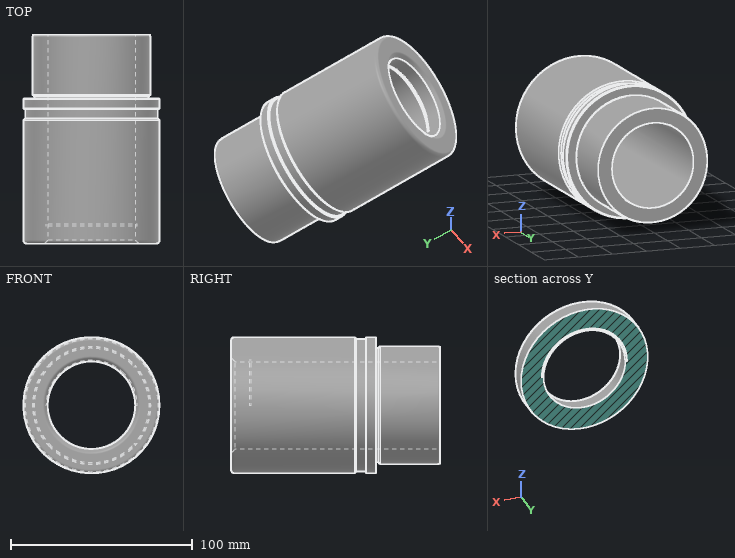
import cadquery as cq
import math


total_length = 115.0
spigot_length = 35.0
collar_length = 6.0
body_length = 68.0

body_radius = 75.0 / 2
groove_depth = 1.0
spigot_radius = 65.0 / 2
neck_depth = 1.0
bore_radius = 48.0 / 2

body_front_fillet = 2.0
collar_chamfer = 0.5
neck_length = 1.0
spigot_lead_length = 1.2
spigot_lead_depth = 0.35
bore_chamfer = 2.2
bore_chamfer_blend = 1.8

oil_groove_start_y = 10.0
oil_groove_width = 1.0
oil_groove_depth = 1.0

shoulder_y = total_length - spigot_length
collar_front_y = shoulder_y - collar_length
groove_radius = body_radius - groove_depth
neck_radius = spigot_radius - neck_depth
neck_end_y = shoulder_y + neck_length

cut_margin = 1.0

full_turn = 360
half_turn = 180


def make_outer_body():
    """Stepped outside: body, groove, collar, neck and spigot as (radius, Y) points."""
    outline = [
        (0, 0),
        (body_radius, 0),
        (body_radius, body_length),
        (groove_radius, body_length + groove_depth),
        (groove_radius, collar_front_y),
        (body_radius - collar_chamfer, collar_front_y),
        (body_radius, collar_front_y + collar_chamfer),
        (body_radius, shoulder_y - collar_chamfer),
        (body_radius - collar_chamfer, shoulder_y),
        (neck_radius, shoulder_y),
        (neck_radius, neck_end_y),
        (spigot_radius, neck_end_y + neck_depth),
        (spigot_radius, total_length - spigot_lead_length),
        (spigot_radius - spigot_lead_depth, total_length),
        (0, total_length),
    ]
    solid = cq.Workplane("XY").polyline(outline).close().revolve(full_turn, (0, 0), (0, 1))
    return solid.faces("<Y").edges().fillet(body_front_fillet)


def make_bore():
    """Through bore whose 45 degree front chamfer is rounded into the front face."""
    cone_angle = math.radians(45)
    half_angle = cone_angle / 2
    tangent_length = bore_chamfer_blend * math.tan(half_angle)
    corner_radius = bore_radius + bore_chamfer
    face_radius = corner_radius + tangent_length
    cone_start = tangent_length * math.sin(cone_angle)
    arc_middle = (
        face_radius - bore_chamfer_blend * math.sin(half_angle),
        bore_chamfer_blend * (1 - math.cos(half_angle)),
    )
    return (
        cq.Workplane("XY")
        .moveTo(0, -cut_margin)
        .lineTo(face_radius, -cut_margin)
        .lineTo(face_radius, 0)
        .threePointArc(arc_middle, (corner_radius - cone_start, cone_start))
        .lineTo(bore_radius, bore_chamfer)
        .lineTo(bore_radius, total_length + cut_margin)
        .lineTo(0, total_length + cut_margin)
        .close()
        .revolve(full_turn, (0, 0), (0, 1))
    )


def make_oil_groove():
    """Half-ring, square-section groove from +X over +Z to -X, opening into the bore."""
    inner_radius = bore_radius - cut_margin
    outer_radius = bore_radius + oil_groove_depth
    end_y = oil_groove_start_y + oil_groove_width
    return (
        cq.Workplane("XY")
        .moveTo(inner_radius, oil_groove_start_y)
        .lineTo(outer_radius, oil_groove_start_y)
        .lineTo(outer_radius, end_y)
        .lineTo(inner_radius, end_y)
        .close()
        .revolve(half_turn, (0, 0), (0, -1))
    )


result = make_outer_body().cut(make_bore()).cut(make_oil_groove())